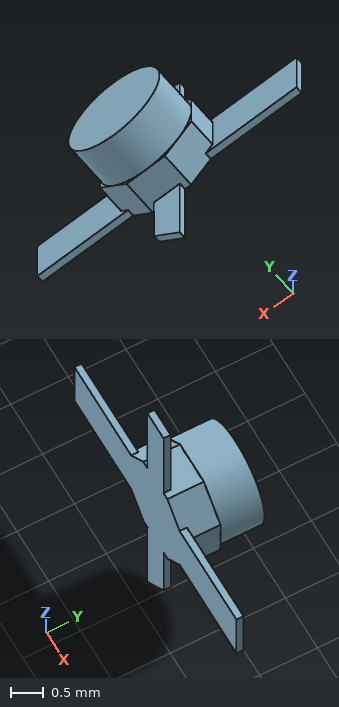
import cadquery as cq

lead_span = 5.08
lead_thickness = 0.127
wide_lead_width = 1.02
narrow_lead_width = 0.51

package_width = 1.79
base_depth = 0.635
total_depth = 1.4
corner_cut = 0.52
cap_depth = total_depth - base_depth


def front_plane(y):
    """XZ sketch plane at depth y whose extrusions run toward +Y (local y is -Z)."""
    return cq.Workplane(cq.Plane(origin=(0, y, 0), xDir=(1, 0, 0), normal=(0, 1, 0)))


def make_base():
    """Octagonal prism: a square block with its four long edges cut at 45 degrees."""
    block = front_plane(0).rect(package_width, package_width).extrude(base_depth)
    return block.edges("|Y").chamfer(corner_cut)


def make_cap():
    """Cylinder on the back of the base, as wide as the base across its flats."""
    return front_plane(base_depth).circle(package_width / 2).extrude(cap_depth)


def make_wide_leads():
    """Pair of wide leads along X, flush with the front of the base."""
    return front_plane(0).rect(lead_span, wide_lead_width).extrude(lead_thickness)


def make_narrow_leads():
    """Pair of narrow leads along Z; the lower one ends in a 45 degree point on its -X side."""
    half_width = narrow_lead_width / 2
    half_span = lead_span / 2
    outline = [
        (-half_width, -half_span),
        (half_width, -half_span),
        (half_width, half_span - narrow_lead_width),
        (-half_width, half_span),
    ]
    return front_plane(0).polyline(outline).close().extrude(lead_thickness)


result = make_base().union(make_cap()).union(make_wide_leads()).union(make_narrow_leads())